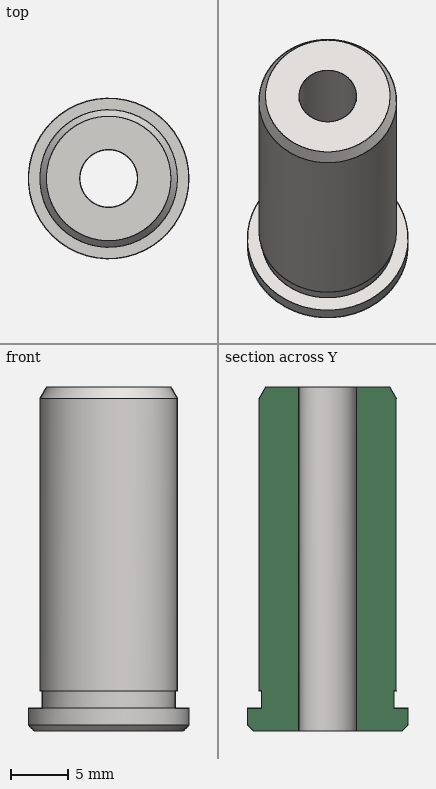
import cadquery as cq
import math

total_height = 30.0
flange_height = 2.0
neck_height = 1.5

flange_diameter = 14.0
body_diameter = 12.0
neck_diameter = 11.6
bore_diameter = 5.0

lead_in_height = 1.0
lead_in_angle = 30.0
lead_in_inset = lead_in_height * math.tan(math.radians(lead_in_angle))
base_chamfer = 0.5

flange_radius = flange_diameter / 2
body_radius = body_diameter / 2
neck_radius = neck_diameter / 2
bore_radius = bore_diameter / 2
neck_top = flange_height + neck_height

half_section = (
    cq.Workplane("XZ")
    .moveTo(bore_radius, 0)
    .lineTo(flange_radius - base_chamfer, 0)
    .lineTo(flange_radius, base_chamfer)
    .lineTo(flange_radius, flange_height)
    .lineTo(neck_radius, flange_height)
    .lineTo(neck_radius, neck_top)
    .lineTo(body_radius, neck_top)
    .lineTo(body_radius, total_height - lead_in_height)
    .lineTo(body_radius - lead_in_inset, total_height)
    .lineTo(bore_radius, total_height)
    .close()
)

result = half_section.revolve(360, (0, 0, 0), (0, 1, 0))